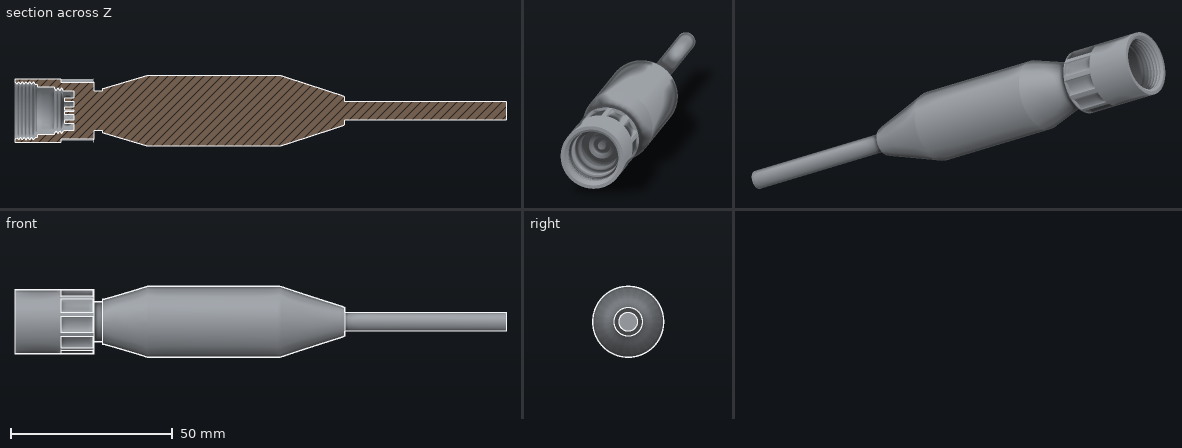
import cadquery as cq
import math

total_length = 152.2
collar_diameter = 20.0
body_diameter = 22.0
cable_diameter = 5.8

collar_end = 24.5
front_rim_start = 27.1
front_rim_end = 27.5
front_cone_end = 41.1
body_end = 81.7
rear_cone_start = 82.3
rear_cone_end = 101.0
cone_tip = 102.1

neck_diameter = 12.5
front_rim_diameter = 14.0
rear_cone_start_diameter = 21.9
rear_cone_end_diameter = 9.7
cone_tip_diameter = 8.8

flute_count = 10
flute_start = 14.3
flute_end = 24.2
flute_width = 4.9
flute_bevel = 0.3
flute_depth = 1.2
flute_angle = 5.0

outer_thread_root = 17.8
outer_thread_crest = 16.3
outer_thread_turns = 6
middle_bore = 14.6
inner_thread_start = 12.2
inner_thread_root = 14.0
inner_thread_crest = 12.0
inner_thread_turns = 3
thread_pitch = 1.14
socket_depth = 18.3

sleeve_diameter = 8.0
sleeve_bore = 5.5
pin_diameter = 2.5
pin_bore = 0.2
sleeve_length = 3.0


def cylinder(diameter, start, end):
    return cq.Workplane("YZ").workplane(offset=start).circle(diameter / 2).extrude(end - start)


def revolve_about_x(points):
    return cq.Workplane("XY").polyline(points).close().revolve(360, (0, 0, 0), (1, 0, 0))


def ring_thread(start, turns, root, crest):
    """Points (x, radius) of a row of V grooves that opens at its root and ends on a crest."""
    points = []
    for turn in range(turns):
        x = start + turn * thread_pitch
        points += [(x, root / 2), (x + thread_pitch / 2, crest / 2)]
    return points


def make_outside():
    return revolve_about_x([
        (0, 0),
        (0, collar_diameter / 2),
        (collar_end, collar_diameter / 2),
        (collar_end, neck_diameter / 2),
        (front_rim_start, neck_diameter / 2),
        (front_rim_start, front_rim_diameter / 2),
        (front_rim_end, front_rim_diameter / 2),
        (front_cone_end, body_diameter / 2),
        (body_end, body_diameter / 2),
        (rear_cone_start, rear_cone_start_diameter / 2),
        (rear_cone_end, rear_cone_end_diameter / 2),
        (cone_tip, cone_tip_diameter / 2),
        (cone_tip, cable_diameter / 2),
        (total_length, cable_diameter / 2),
        (total_length, 0),
    ])


def make_flutes():
    half_width = flute_width / 2
    floor_half_width = half_width - flute_bevel
    rim = math.sqrt((collar_diameter / 2) ** 2 - half_width ** 2)
    outside = collar_diameter
    flute = (
        cq.Workplane("YZ").workplane(offset=flute_start)
        .moveTo(outside, half_width)
        .lineTo(rim, half_width)
        .lineTo(rim - flute_bevel, floor_half_width)
        .threePointArc((collar_diameter / 2 - flute_depth, 0), (rim - flute_bevel, -floor_half_width))
        .lineTo(rim, -half_width)
        .lineTo(outside, -half_width)
        .close()
        .extrude(flute_end - flute_start)
    )
    for i in range(flute_count):
        yield flute.rotate((0, 0, 0), (1, 0, 0), flute_angle + i * 360 / flute_count)


def make_socket():
    outer_thread_end = outer_thread_turns * thread_pitch
    points = [(0, 0)]
    points += ring_thread(0, outer_thread_turns, outer_thread_root, outer_thread_crest)
    points += [
        (outer_thread_end, outer_thread_crest / 2),
        (outer_thread_end, middle_bore / 2),
        (inner_thread_start, middle_bore / 2),
    ]
    points += ring_thread(inner_thread_start, inner_thread_turns, inner_thread_root, inner_thread_crest)
    points += [(socket_depth, inner_thread_crest / 2), (socket_depth, 0)]
    return revolve_about_x(points)


def make_contact():
    tip = socket_depth - sleeve_length
    sleeve = cylinder(sleeve_diameter, tip, socket_depth).cut(cylinder(sleeve_bore, tip, socket_depth))
    pin = cylinder(pin_diameter, tip, socket_depth).cut(cylinder(pin_bore, tip, socket_depth))
    return sleeve, pin


result = make_outside().cut(make_socket())
for flute in make_flutes():
    result = result.cut(flute)
for contact in make_contact():
    result = result.union(contact)